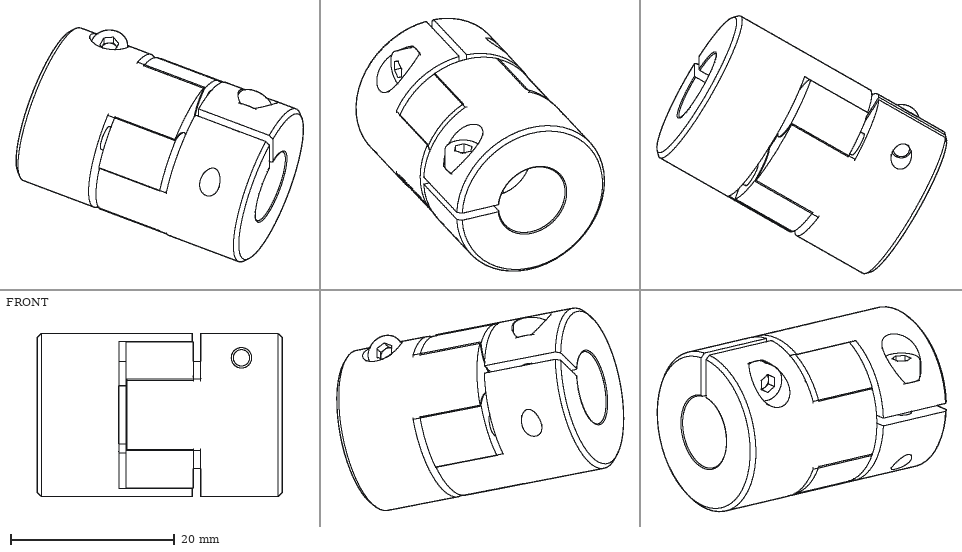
import cadquery as cq

length = 30.0
outer_radius = 10.0
hub_body_length = 10.0
outer_chamfer = 0.5
bore_radius = 4.5
bore_chamfer = 0.15

jaw_length = 9.0
jaw_inner_radius = 4.75
jaw_spacing = 9.0
leg_offset = 5.05
leg_radius = 4.0

spider_length = 8.2
spider_recess = 0.1
pad_diameter = 3.0

slit_width = 1.0
screw_offset = 7.0
screw_diameter = 2.5
screw_length = 8.0
screw_tip_chamfer = 0.25
clearance_diameter = 2.8
head_diameter = 4.5
head_height = 2.5
head_fillet = 0.25
head_seat = 3.93
counterbore_diameter = 4.8
socket_across_flats = 2.0
socket_depth = 1.2
socket_cone_depth = 0.5

half_length = length / 2
body_end = -half_length + hub_body_length
screw_x = -half_length + hub_body_length / 2


def cylinder_x(radius, start, size, y=0, z=0):
    """Cylinder parallel to X, beginning at x = start."""
    return cq.Workplane("YZ", origin=(start, y, z)).circle(radius).extrude(size)


def cylinder_z(diameter, bottom, top):
    """Cylinder on the clamp screw axis of the left hub."""
    base = cq.Workplane("XY", origin=(screw_x, screw_offset, bottom))
    return base.circle(diameter / 2).extrude(top - bottom)


def leg_cylinders(start, size):
    """Four cylinders along X on the spider leg axes."""
    legs = cq.Workplane("YZ", origin=(start, 0, 0))
    legs = legs.rect(2 * leg_offset, 2 * leg_offset, forConstruction=True).vertices()
    return legs.circle(leg_radius).extrude(size)


def jaws():
    """Two opposite jaws of the left hub, at the top and the bottom."""
    ring = cylinder_x(outer_radius, body_end, jaw_length)
    ring = ring.cut(cylinder_x(jaw_inner_radius, body_end, jaw_length))
    gap = cq.Workplane("XY").box(
        jaw_length, 2 * outer_radius, jaw_spacing, centered=(False, True, True)
    )
    jaw_pair = ring.cut(gap.translate((body_end, 0, 0)))
    return jaw_pair.cut(leg_cylinders(body_end, jaw_length))


def hub_body():
    """Bored, chamfered and slit cylinder with the clamp screw hole."""
    body = cylinder_x(outer_radius, -half_length, hub_body_length)
    body = body.faces("<X").chamfer(outer_chamfer)
    body = body.cut(cylinder_x(bore_radius, -half_length, hub_body_length))
    body = body.faces("<X").edges(cq.selectors.RadiusNthSelector(0)).chamfer(bore_chamfer)
    slit = cq.Workplane("XY").box(
        hub_body_length, outer_radius, slit_width, centered=(False, False, True)
    )
    body = body.cut(slit.translate((-half_length, 0, 0)))
    body = body.cut(cylinder_z(screw_diameter, -outer_radius, 0))
    body = body.cut(cylinder_z(clearance_diameter, 0, head_seat))
    return body.cut(cylinder_z(counterbore_diameter, head_seat, outer_radius))


def clamp_screw():
    """Socket head screw, head up, seated on the counterbore floor."""
    head_top = head_seat + head_height
    shank = cylinder_z(screw_diameter, head_seat - screw_length, head_seat)
    shank = shank.faces("<Z").chamfer(screw_tip_chamfer)
    head = cylinder_z(head_diameter, head_seat, head_top)
    head = head.faces(">Z").fillet(head_fillet)
    socket_floor = head_top - socket_depth
    hexagon = (
        cq.Workplane("XY", origin=(screw_x, screw_offset, socket_floor))
        .polygon(6, socket_across_flats, circumscribed=True)
        .extrude(socket_depth)
    )
    cone = cq.Solid.makeCone(
        socket_across_flats / 2,
        0,
        socket_cone_depth,
        pnt=cq.Vector(screw_x, screw_offset, socket_floor),
        dir=cq.Vector(0, 0, -1),
    )
    return shank.union(head).cut(hexagon).cut(cq.Workplane(cone))


def spider():
    """Core and four legs, with pads on alternate legs that touch the hub bodies."""
    start = -spider_length / 2
    legs = leg_cylinders(start, spider_length)
    legs = legs.intersect(cylinder_x(outer_radius - spider_recess, start, spider_length))
    element = legs.union(cylinder_x(jaw_inner_radius, start, spider_length))
    pad_height = -body_end - spider_length / 2
    for side in (-1, 1):
        y = side * leg_offset
        left_pad = cylinder_x(pad_diameter / 2, body_end, pad_height, y, -y)
        right_pad = cylinder_x(pad_diameter / 2, -start, pad_height, y, y)
        element = element.union(left_pad).union(right_pad)
    return element


left_hub = hub_body().union(jaws()).union(clamp_screw())
right_hub = left_hub.rotate((0, 0, 0), (0, 1, 1), 180)
result = left_hub.union(spider()).union(right_hub)